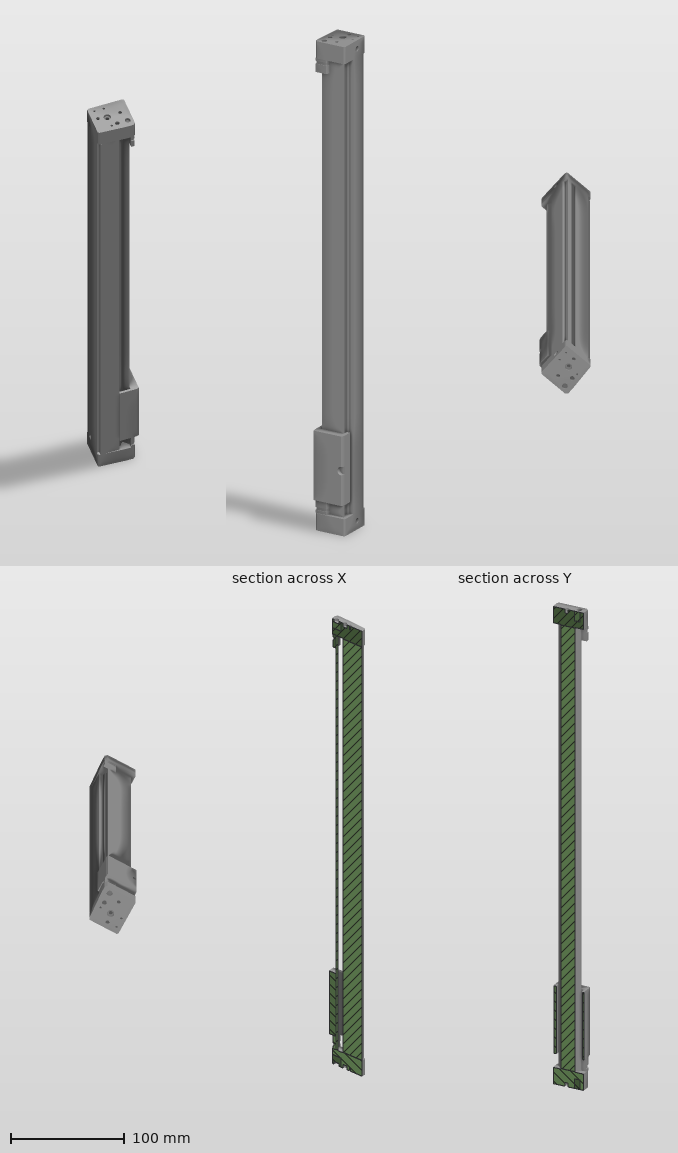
import cadquery as cq
import math

TOTAL_LENGTH = 460.0
WIDTH = 31.0
DEPTH = 37.5
LEFT = -WIDTH / 2
RIGHT_MOST = WIDTH / 2
CENTRE_X = -0.7
RIGHT = 2 * CENTRE_X - LEFT
FRONT = -DEPTH / 2
BACK_MOST = DEPTH / 2
MID_Z = TOTAL_LENGTH / 2

CAP_LENGTH = 16.0
CAP_BACK = 15.5
CAP_EDGE_RADIUS = 4.0
CAP_EDGE_ANGLE = 40.0
CAP_RIGHT = 14.0
CAP_CHAMFER_X = 1.0
CAP_CHAMFER_Y = 1.5
CAP_BACK_CHAMFER = 2.0
CAP_FLARE_END = 8.0

PORT_Y = -5.0
CAP_PIN_Y = -4.5
CAP_SCREW_X = -2.05
CAP_PIN_SPACING = 20.5
PORT_DIAMETER = 6.5
PORT_BORE_DIAMETER = 3.0
PORT_DEPTH = 2.5
PORT_BORE_DEPTH = 5.5
SIDE_PORT_DIAMETER = 5.0
BLIND_DEPTH = 3.5
END_HOLES = [
    (CENTRE_X - CAP_PIN_SPACING / 2, CAP_PIN_Y, 2.0),
    (CENTRE_X + CAP_PIN_SPACING / 2, CAP_PIN_Y, 2.0),
    (CAP_SCREW_X, 7.5, 3.0),
    (CAP_SCREW_X, -13.5, 3.0),
    (8.7, 1.0, 4.0),
]

PLUG_X = 8.7
PLUG_Y = 10.5
PLUG_DIAMETER = 9.5
PLUG_SOCKET_DIAMETER = 5.0
PLUG_LENGTH = 9.0
NEEDLE_X = -11.0
NEEDLE_Y = -13.5
NEEDLE_DIAMETER = 4.0
NEEDLE_SOCKET_DIAMETER = 2.0
NEEDLE_LENGTH = 7.0
SOCKET_DEPTH = 2.8

BARREL_BACK = 11.5
CORNER_STEP_Y = -14.5
CORNER_STEP_X = -13.5
STEP_SLOPE_X = -14.3
STEP_SLOPE_RISE = 0.7
GROOVE_LEFT = -9.5
GROOVE_RIGHT = -4.5
GROOVE_DEPTH = 2.0
FRONT_STEP_X = 10.5
FRONT_STEP_DEPTH = 2.5
LEDGE_Y = 1.0
LIP_X = -12.0

GUIDE_CHANNEL = [
    (LEFT, LEDGE_Y),
    (-11.5, LEDGE_Y),
    (-11.5, 3.5),
    (-9.5, 3.5),
    (-9.5, 5.0),
    (-8.0, 6.5),
    (LIP_X, 10.5),
    (LIP_X, BARREL_BACK),
]

CARRIAGE_LENGTH = 65.5
CARRIAGE_BOTTOM = 29.5
CARRIAGE_LEFT = -15.0
CARRIAGE_LEG_INNER = 13.5
CARRIAGE_LEFT_LEG_Y = 6.5
CARRIAGE_EDGE_RADIUS = 7.0
CARRIAGE_EDGE_ANGLE = 38.0
CARRIAGE_RIGHT_CORNER_X = 14.5
CARRIAGE_BEVEL_Y = 2.8
NOTCH_DIAMETER = 8.0
NOTCH_X = -14.0
NOTCH_DEPTH = 4.0

STOP_LENGTH = 13.5
STOP_FLANGE_LENGTH = 2.8
STOP_NECK_LENGTH = 2.8
STOP_NECK_INSET = 0.7
STOP_LEFT = 2.8
STOP_BACK = 14.5
STOP_BEVEL = 1.6


def mirrored_x(x):
    return 2 * CENTRE_X - x


def edge_arc(radius, angle, corner_x, corner_y, toward):
    """Start, middle and end of an arc that leaves the left flank at corner_x tangentially
    and meets the flat face at corner_y; toward is +1 for the back face, -1 for the front."""
    end = math.radians(angle)
    start_y = corner_y - toward * radius * math.sin(end)

    def at(turn):
        return (
            corner_x + radius * (1 - math.cos(turn)),
            start_y + toward * radius * math.sin(turn),
        )

    return at(0), at(end / 2), at(end)


def bored(body, x, y, diameter, top, depth):
    tool = cq.Workplane("XY", origin=(x, y, top - depth)).circle(diameter / 2).extrude(depth)
    return body.cut(tool)


def make_cap():
    front_start, front_mid, front_end = edge_arc(CAP_EDGE_RADIUS, CAP_EDGE_ANGLE, LEFT, FRONT, -1)
    back_start, back_mid, back_end = edge_arc(CAP_EDGE_RADIUS, CAP_EDGE_ANGLE, LEFT, CAP_BACK, 1)
    cap = (
        cq.Workplane("XY", origin=(0, 0, TOTAL_LENGTH - CAP_LENGTH))
        .moveTo(*front_start)
        .threePointArc(front_mid, front_end)
        .lineTo(CAP_RIGHT - CAP_CHAMFER_X, FRONT)
        .lineTo(CAP_RIGHT, FRONT + CAP_CHAMFER_Y)
        .lineTo(RIGHT_MOST, CAP_FLARE_END)
        .lineTo(RIGHT_MOST, CAP_BACK - CAP_BACK_CHAMFER)
        .lineTo(RIGHT_MOST - CAP_BACK_CHAMFER, CAP_BACK)
        .lineTo(*back_end)
        .threePointArc(back_mid, back_start)
        .close()
        .extrude(CAP_LENGTH)
    )
    for x, y, diameter in END_HOLES:
        cap = bored(cap, x, y, diameter, TOTAL_LENGTH, BLIND_DEPTH)
    cap = bored(cap, CENTRE_X, PORT_Y, PORT_DIAMETER, TOTAL_LENGTH, PORT_DEPTH)
    cap = bored(cap, CENTRE_X, PORT_Y, PORT_BORE_DIAMETER, TOTAL_LENGTH, PORT_BORE_DEPTH)
    cap = bored(cap, PLUG_X, PLUG_Y, PLUG_DIAMETER, TOTAL_LENGTH, PLUG_LENGTH)
    cap = bored(cap, NEEDLE_X, NEEDLE_Y, NEEDLE_DIAMETER, TOTAL_LENGTH, NEEDLE_LENGTH)
    side_port = (
        cq.Workplane("YZ", origin=(LEFT, PORT_Y, TOTAL_LENGTH - CAP_LENGTH / 2))
        .circle(SIDE_PORT_DIAMETER / 2)
        .extrude(PORT_BORE_DEPTH)
    )
    return cap.cut(side_port)


def make_screw(x, y, diameter, length, socket_diameter):
    screw = (
        cq.Workplane("XY", origin=(x, y, TOTAL_LENGTH - length))
        .circle(diameter / 2)
        .extrude(length)
    )
    return bored(screw, x, y, socket_diameter, TOTAL_LENGTH, SOCKET_DEPTH)


def make_plug():
    return make_screw(PLUG_X, PLUG_Y, PLUG_DIAMETER, PLUG_LENGTH, PLUG_SOCKET_DIAMETER)


def make_needle():
    return make_screw(NEEDLE_X, NEEDLE_Y, NEEDLE_DIAMETER, NEEDLE_LENGTH, NEEDLE_SOCKET_DIAMETER)


def make_barrel():
    front_side = [
        (LEFT, CORNER_STEP_Y + STEP_SLOPE_RISE),
        (STEP_SLOPE_X, CORNER_STEP_Y),
        (CORNER_STEP_X, CORNER_STEP_Y),
        (CORNER_STEP_X, FRONT),
        (GROOVE_LEFT, FRONT),
        (GROOVE_LEFT, FRONT + GROOVE_DEPTH),
        (GROOVE_RIGHT, FRONT + GROOVE_DEPTH),
        (GROOVE_RIGHT, FRONT),
        (FRONT_STEP_X, FRONT),
        (FRONT_STEP_X, FRONT + FRONT_STEP_DEPTH),
        (RIGHT, FRONT + FRONT_STEP_DEPTH),
    ]
    right_channel = [(mirrored_x(x), y) for x, y in GUIDE_CHANNEL]
    outline = front_side + right_channel + GUIDE_CHANNEL[::-1]
    return (
        cq.Workplane("XY", origin=(0, 0, CAP_LENGTH))
        .polyline(outline)
        .close()
        .extrude(TOTAL_LENGTH - 2 * CAP_LENGTH)
    )


def make_carriage():
    edge_start, edge_mid, edge_end = edge_arc(
        CARRIAGE_EDGE_RADIUS, CARRIAGE_EDGE_ANGLE, CARRIAGE_LEFT, BACK_MOST, 1
    )
    carriage = (
        cq.Workplane("XY", origin=(0, 0, CARRIAGE_BOTTOM))
        .moveTo(CARRIAGE_LEFT, CARRIAGE_LEFT_LEG_Y)
        .lineTo(*edge_start)
        .threePointArc(edge_mid, edge_end)
        .lineTo(CARRIAGE_RIGHT_CORNER_X, BACK_MOST)
        .lineTo(RIGHT_MOST, BACK_MOST - CARRIAGE_BEVEL_Y)
        .lineTo(RIGHT_MOST, LEDGE_Y)
        .lineTo(CARRIAGE_LEG_INNER, LEDGE_Y)
        .lineTo(CARRIAGE_LEG_INNER, BARREL_BACK)
        .lineTo(LIP_X, BARREL_BACK)
        .lineTo(LIP_X, CARRIAGE_LEFT_LEG_Y)
        .close()
        .extrude(CARRIAGE_LENGTH)
    )
    notch = (
        cq.Workplane("XZ", origin=(NOTCH_X, BACK_MOST, CARRIAGE_BOTTOM + CARRIAGE_LENGTH / 2))
        .circle(NOTCH_DIAMETER / 2)
        .extrude(NOTCH_DEPTH)
    )
    return carriage.cut(notch)


def stop_block(top, length, inset):
    return (
        cq.Workplane("XY", origin=(0, 0, top - length))
        .moveTo(STOP_LEFT + inset, BARREL_BACK)
        .lineTo(RIGHT_MOST - inset, BARREL_BACK)
        .lineTo(RIGHT_MOST - inset, STOP_BACK - inset)
        .lineTo(STOP_LEFT + inset + STOP_BEVEL, STOP_BACK - inset)
        .close()
        .extrude(length)
    )


def make_stop():
    flange_top = TOTAL_LENGTH - CAP_LENGTH
    neck_top = flange_top - STOP_FLANGE_LENGTH
    head_top = neck_top - STOP_NECK_LENGTH
    head_length = STOP_LENGTH - STOP_FLANGE_LENGTH - STOP_NECK_LENGTH
    flange = stop_block(flange_top, STOP_FLANGE_LENGTH, 0)
    neck = stop_block(neck_top, STOP_NECK_LENGTH, STOP_NECK_INSET)
    head = stop_block(head_top, head_length, 0)
    return flange.union(neck).union(head)


end_parts = []
for make in (make_cap, make_plug, make_needle, make_stop):
    top_part = make()
    bottom_part = top_part.mirror("XY", (0, 0, MID_Z))
    end_parts += [top_part.val(), bottom_part.val()]

barrel = make_barrel()
carriage = make_carriage()

result = cq.Compound.makeCompound([barrel.val(), carriage.val(), *end_parts])